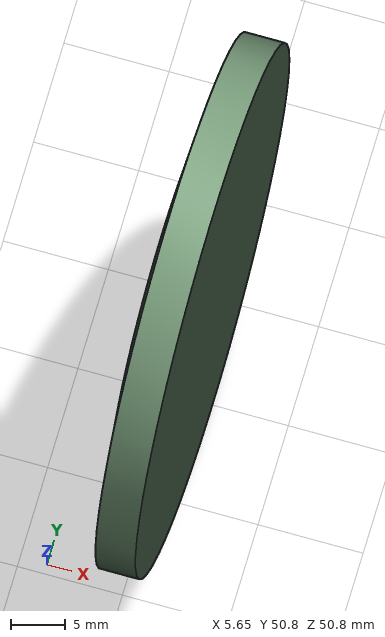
import cadquery as cq

diameter = 50.8
total_thickness = 5.65
edge_thickness = 3.8

radius = diameter / 2
dome_height = total_thickness - edge_thickness
dome_radius = (radius**2 + dome_height**2) / (2 * dome_height)

mid_height = radius / 2
mid_x = dome_radius - total_thickness - (dome_radius**2 - mid_height**2) ** 0.5
half_section = (
    cq.Workplane("XY")
    .lineTo(0, radius)
    .lineTo(-edge_thickness, radius)
    .threePointArc((mid_x, mid_height), (-total_thickness, 0))
    .close()
)

result = half_section.revolve(360, (0, 0, 0), (1, 0, 0))